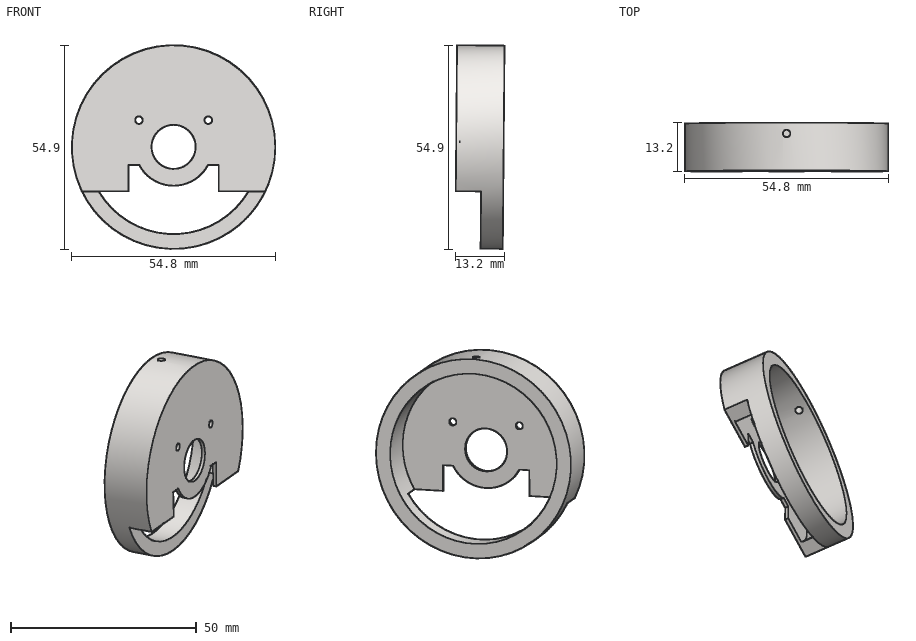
import cadquery as cq

OUTER_DIAMETER = 54.8
CAVITY_DIAMETER = 46.8
DEPTH = 12.85
FACE_THICKNESS = 1.0
LEAN_ANGLE = 0.5

CENTER_HOLE_DIAMETER = 11.8
HUB_DIAMETER = 21.0
SMALL_HOLE_DIAMETER = 2.0
FACE_HOLE_X = 9.35
FACE_HOLE_Z = 7.2
RIM_HOLE_FROM_BACK = 2.9

STEP_Z = -11.95
LOWER_RIM_DEPTH = 6.05
NOTCH_WIDTH = 24.25
NOTCH_TOP_Z = -4.9


def cylinder_along_y(diameter, start_y, length, x=0, z=0):
    base = cq.Plane(origin=(x, start_y, z), xDir=(1, 0, 0), normal=(0, 1, 0))
    return cq.Workplane(base).circle(diameter / 2).extrude(length)


def box_below(top_z, width, depth):
    """Box from the front face backwards, reaching from top_z past the bottom of the rim."""
    height = OUTER_DIAMETER
    return cq.Workplane("XY").box(width, depth, height, centered=(True, False, False)).translate(
        (0, 0, top_z - height)
    )


body = cylinder_along_y(OUTER_DIAMETER, 0, DEPTH)
body = body.cut(cylinder_along_y(CAVITY_DIAMETER, FACE_THICKNESS, DEPTH - FACE_THICKNESS))

body = body.cut(box_below(STEP_Z, OUTER_DIAMETER, DEPTH - LOWER_RIM_DEPTH))
notch = box_below(NOTCH_TOP_Z, NOTCH_WIDTH, FACE_THICKNESS)
body = body.cut(notch.cut(cylinder_along_y(HUB_DIAMETER, 0, FACE_THICKNESS)))

body = body.cut(cylinder_along_y(CENTER_HOLE_DIAMETER, 0, FACE_THICKNESS))
for side in (-1, 1):
    body = body.cut(
        cylinder_along_y(SMALL_HOLE_DIAMETER, 0, FACE_THICKNESS, side * FACE_HOLE_X, FACE_HOLE_Z)
    )

rim_hole = (
    cq.Workplane("XY")
    .center(0, DEPTH - RIM_HOLE_FROM_BACK)
    .circle(SMALL_HOLE_DIAMETER / 2)
    .extrude(OUTER_DIAMETER)
)
body = body.cut(rim_hole)

result = body.rotate((0, 0, 0), (1, 0, 0), -LEAN_ANGLE)